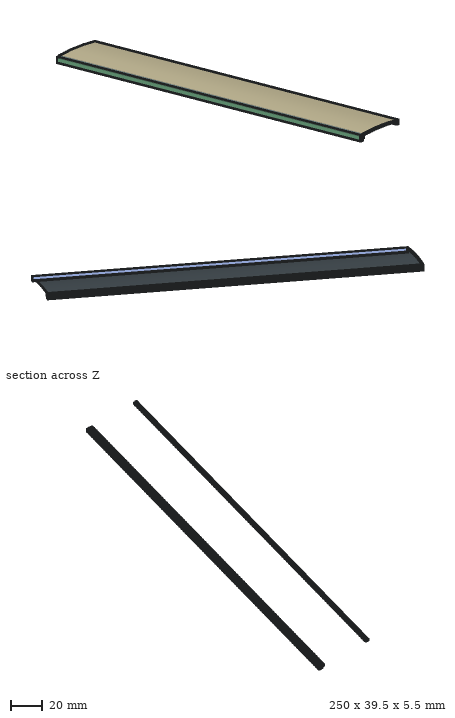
import cadquery as cq

length = 250.0
width = 39.5
height = 5.5

plate_thickness = 1.2
bow_rise = 1.0
edge_radius = 0.5

leg_thickness = 1.0
leg_bottom = 1.5
hook_reach = 1.0
hook_thickness = 0.8

rail_top = 4.0
rail_thickness = 1.2
rail_radius = 0.38
groove_width = 0.8
foot_length = 3.0
foot_thickness = 0.8

back = width / 2
front = -width / 2
plate_front = front + rail_thickness + groove_width
plate_middle = (back + plate_front) / 2
edge_top = height - bow_rise
edge_underside = edge_top - plate_thickness


def strip(y_min, y_max, z_min, z_max):
    """Full-length rectangular bar between the given Y and Z limits."""
    return cq.Workplane("XY").box(length, y_max - y_min, z_max - z_min).translate(
        (0, (y_min + y_max) / 2, (z_min + z_max) / 2)
    )


def bowed_plate():
    """Constant-thickness arched plate with rounded upper edges."""
    plate = (
        cq.Workplane("YZ", origin=(-length / 2, 0, 0))
        .moveTo(plate_front, edge_underside)
        .lineTo(plate_front, edge_top)
        .threePointArc((plate_middle, height), (back, edge_top))
        .lineTo(back, edge_underside)
        .threePointArc((plate_middle, height - plate_thickness), (plate_front, edge_underside))
        .close()
        .extrude(length)
    )
    return plate.faces("<Y or >Y").edges("|X and >Z").fillet(edge_radius)


def leg_with_hook(outer_face, inward):
    """Leg below a plate edge; inward is the Y direction (+1 or -1) of its hook."""
    inner_face = outer_face + inward * leg_thickness
    hook_tip = inner_face + inward * hook_reach
    leg_top = edge_underside + plate_thickness / 2
    leg = strip(*sorted((outer_face, inner_face)), leg_bottom, leg_top)
    hook = strip(*sorted((outer_face, hook_tip)), leg_bottom, leg_bottom + hook_thickness)
    return leg.union(hook)


def front_rail():
    """Outer rail with rounded outer edges, an inward foot and a web to the front leg."""
    wall = strip(front, front + rail_thickness, 0, rail_top)
    foot = strip(front, front + foot_length, 0, foot_thickness)
    web = strip(front, plate_front + leg_thickness, leg_bottom, leg_bottom + hook_thickness)
    rail = wall.union(foot).union(web)
    return rail.faces("<Y").edges("|X").fillet(rail_radius)


result = (
    bowed_plate()
    .union(leg_with_hook(back, -1))
    .union(leg_with_hook(plate_front, 1))
    .union(front_rail())
)